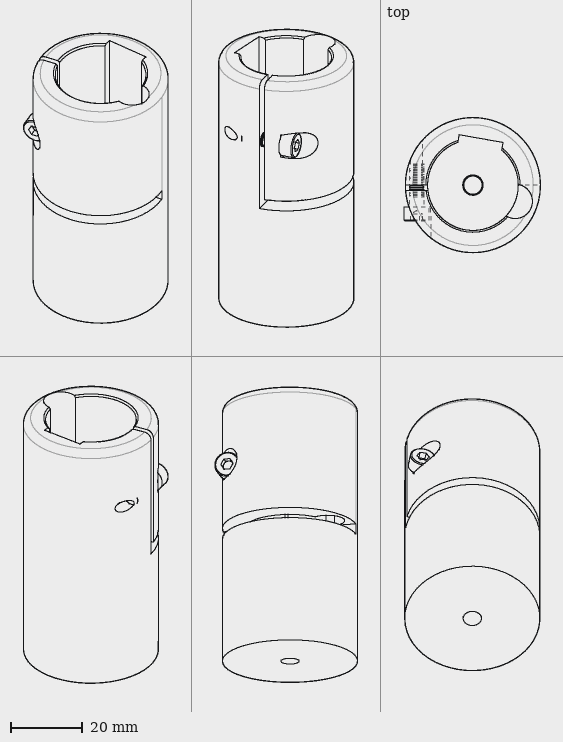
import cadquery as cq
import math

height = 75.0
outer_radius = 18.9
rim_fillet = 2.0
base_height = 36.0
gap_height = 3.0
collar_bottom = base_height + gap_height
cut_reach = 22.5

bore_radius = 12.7
bore_depth = 40.0
bore_chamfer = 0.5
bore_floor = height - bore_depth
centre_hole_radius = 2.55
centre_hole_chamfer = 0.3

keyway_width = 12.45
keyway_reach = 13.2
keyway_turn = -10.0

slit_width = 1.5
relief_radius = 4.8
relief_angle = -21.0

screw_x = -15.75
screw_z = 56.0
head_radius = 3.5
head_height = 4.0
head_chamfer = 0.3
seat_y = -6.1
counterbore_radius = 4.0
shank_radius = 2.0
shank_length = 12.0
thread_pitch = 0.7
thread_depth = 0.34
thread_start = 2.8
tapped_hole_radius = 1.65
hex_across_flats = 3.0
hex_depth = 2.0
drill_point_depth = 0.9


def y_cylinder(radius, start_y, length):
    """Cylinder on the screw axis, running from start_y toward +Y."""
    return (
        cq.Workplane("XZ", origin=(screw_x, start_y, screw_z))
        .circle(radius)
        .extrude(-length)
    )


def z_cylinder(radius, bottom, top):
    """Cylinder on the body axis."""
    return cq.Workplane("XY").workplane(offset=bottom).circle(radius).extrude(top - bottom)


def flared_mouth(radius, chamfer, top):
    """Cone on the body axis that chamfers the upper edge of a hole."""
    profile = [(0, top - chamfer), (radius, top - chamfer), (radius + chamfer, top), (0, top)]
    return cq.Workplane("XZ").polyline(profile).close().revolve(360, (0, 0, 0), (0, 1, 0))


def make_blank():
    return z_cylinder(outer_radius, 0, height).faces(">Z").edges().fillet(rim_fillet)


def make_bore():
    bore = z_cylinder(bore_radius, bore_floor, height)
    mouth = flared_mouth(bore_radius, bore_chamfer, height)
    return bore.union(mouth)


def make_centre_hole():
    mouth = flared_mouth(centre_hole_radius, centre_hole_chamfer, bore_floor)
    return z_cylinder(centre_hole_radius, 0, bore_floor).union(mouth)


def make_keyway():
    return (
        cq.Workplane("XY", origin=(0, 0, bore_floor))
        .rect(keyway_width, keyway_reach, centered=(True, False))
        .extrude(bore_depth)
        .rotate((0, 0, 0), (0, 0, 1), keyway_turn)
    )


def make_gap():
    return cq.Workplane("XY", origin=(0, -cut_reach, base_height)).box(
        2 * cut_reach, cut_reach, gap_height, centered=(True, False, False)
    )


def make_slit():
    return cq.Workplane("XY", origin=(-cut_reach, -slit_width, collar_bottom)).box(
        cut_reach, slit_width, height - collar_bottom, centered=False
    )


def make_relief():
    angle = math.radians(relief_angle)
    return (
        cq.Workplane("XY", origin=(0, 0, collar_bottom))
        .center(bore_radius * math.cos(angle), bore_radius * math.sin(angle))
        .circle(relief_radius)
        .extrude(height - collar_bottom)
    )


def make_screw_hole():
    counterbore = y_cylinder(counterbore_radius, -cut_reach, seat_y + cut_reach)
    shank_hole = y_cylinder(shank_radius, seat_y, shank_length)
    tapped_hole = y_cylinder(tapped_hole_radius, seat_y, cut_reach - seat_y)
    return counterbore.union(shank_hole).union(tapped_hole)


def make_body():
    body = make_blank()
    cuts = [
        make_bore(),
        make_centre_hole(),
        make_keyway(),
        make_gap(),
        make_slit(),
        make_relief(),
        make_screw_hole(),
    ]
    for cut in cuts:
        body = body.cut(cut)
    return body


def make_threaded_blank():
    """Screw along +Y with the face of its head at the origin."""
    tip = head_height + shank_length
    profile = (
        cq.Workplane("XY")
        .moveTo(0, 0)
        .lineTo(head_radius - head_chamfer, 0)
        .lineTo(head_radius, head_chamfer)
        .lineTo(head_radius, head_height)
        .lineTo(shank_radius, head_height)
        .lineTo(shank_radius, head_height + thread_start)
    )
    turns = math.floor((shank_length - thread_start) / thread_pitch)
    for turn in range(turns):
        groove_start = head_height + thread_start + turn * thread_pitch
        groove_middle = groove_start + thread_pitch / 2
        profile = profile.lineTo(shank_radius - thread_depth, groove_middle)
        profile = profile.lineTo(shank_radius, groove_start + thread_pitch)
    profile = profile.lineTo(shank_radius, tip).lineTo(0, tip).close()
    return profile.revolve(360, (0, 0, 0), (0, 1, 0))


def make_hex_socket():
    hexagon = (
        cq.Workplane("XZ")
        .polygon(6, hex_across_flats / math.cos(math.radians(30)))
        .extrude(-hex_depth)
    )
    drill_point = cq.Workplane(
        cq.Solid.makeCone(
            hex_across_flats / 2,
            0,
            drill_point_depth,
            pnt=cq.Vector(0, hex_depth, 0),
            dir=cq.Vector(0, 1, 0),
        )
    )
    return hexagon.union(drill_point)


def make_screw():
    screw = make_threaded_blank().cut(make_hex_socket())
    return screw.translate((screw_x, seat_y - head_height, screw_z))


body = make_body()
screw = make_screw()
result = cq.Compound.makeCompound([body.val(), screw.val()])